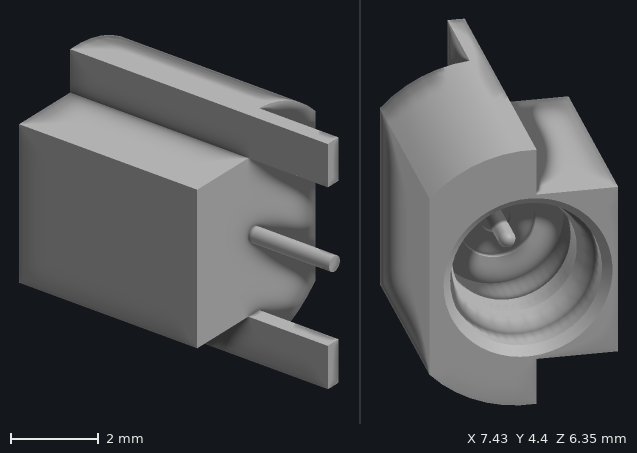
import cadquery as cq
import math

body_length = 5.11
outer_diameter = 6.35
outer_radius = outer_diameter / 2
back_y = 2.295
front_y = -2.1
shoulder_y = -0.2
block_half_height = 2.05

leg_end_x = 7.39
leg_half_width = -shoulder_y

mouth_radius = 1.97
entry_radius = 1.77
neck_radius = 1.455
groove_radius = 1.55
mouth_chamfer_depth = mouth_radius - entry_radius
neck_start_x = 1.405
neck_end_x = 2.06
taper_angle = 30
taper_slope = math.tan(math.radians(taper_angle))
taper_start_x = neck_start_x - (entry_radius - neck_radius) / taper_slope
groove_start_x = neck_end_x + (groove_radius - neck_radius) / taper_slope
socket_floor_x = 3.195

insulator_radius = 0.9
insulator_recess_depth = 0.15
pin_recess_radius = 0.35
pin_recess_depth = 0.15

pin_radius = 0.2
pin_tip_x = 2.005
pin_end_x = 7.43


def make_body():
    """Extrude the outline in the YZ plane along X."""
    back_z = math.sqrt(outer_radius**2 - back_y**2)
    shoulder_z = math.sqrt(outer_radius**2 - shoulder_y**2)
    return (
        cq.Workplane("YZ")
        .moveTo(back_y, -back_z)
        .lineTo(back_y, back_z)
        .threePointArc((0, outer_radius), (shoulder_y, shoulder_z))
        .lineTo(shoulder_y, block_half_height)
        .lineTo(front_y, block_half_height)
        .lineTo(front_y, -block_half_height)
        .lineTo(shoulder_y, -block_half_height)
        .lineTo(shoulder_y, -shoulder_z)
        .threePointArc((0, -outer_radius), (back_y, -back_z))
        .close()
        .extrude(body_length)
    )


def make_leg(side):
    """One leg with a flat inner face and a rounded outer face; side is +1 (top) or -1 (bottom)."""
    inner_z = side * block_half_height
    corner_z = side * math.sqrt(outer_radius**2 - leg_half_width**2)
    return (
        cq.Workplane("YZ", origin=(body_length, 0, 0))
        .moveTo(-leg_half_width, inner_z)
        .lineTo(leg_half_width, inner_z)
        .lineTo(leg_half_width, corner_z)
        .threePointArc((0, side * outer_radius), (-leg_half_width, corner_z))
        .close()
        .extrude(leg_end_x - body_length)
    )


def revolve_about_x(half_profile):
    """Turn an XY half profile once around the X axis."""
    return half_profile.close().revolve(360, (0, 0, 0), (1, 0, 0))


def make_socket():
    """Space removed for the chamfered mouth, tapered neck, groove and floor recesses."""
    insulator_x = socket_floor_x + insulator_recess_depth
    pin_recess_x = insulator_x + pin_recess_depth
    return revolve_about_x(
        cq.Workplane("XY")
        .moveTo(0, 0)
        .lineTo(0, mouth_radius)
        .lineTo(mouth_chamfer_depth, entry_radius)
        .lineTo(taper_start_x, entry_radius)
        .lineTo(neck_start_x, neck_radius)
        .lineTo(neck_end_x, neck_radius)
        .lineTo(groove_start_x, groove_radius)
        .lineTo(socket_floor_x, groove_radius)
        .lineTo(socket_floor_x, insulator_radius)
        .lineTo(insulator_x, insulator_radius)
        .lineTo(insulator_x, pin_recess_radius)
        .lineTo(pin_recess_x, pin_recess_radius)
        .lineTo(pin_recess_x, 0)
    )


def make_pin():
    """Pin with a hemispherical tip, running out through the rear face."""
    tip_centre_x = pin_tip_x + pin_radius
    tip_offset = pin_radius * math.sqrt(0.5)
    return revolve_about_x(
        cq.Workplane("XY")
        .moveTo(pin_tip_x, 0)
        .threePointArc((tip_centre_x - tip_offset, tip_offset), (tip_centre_x, pin_radius))
        .lineTo(pin_end_x, pin_radius)
        .lineTo(pin_end_x, 0)
    )


result = make_body().cut(make_socket())
for leg_side in (1, -1):
    result = result.union(make_leg(leg_side))
result = result.union(make_pin())